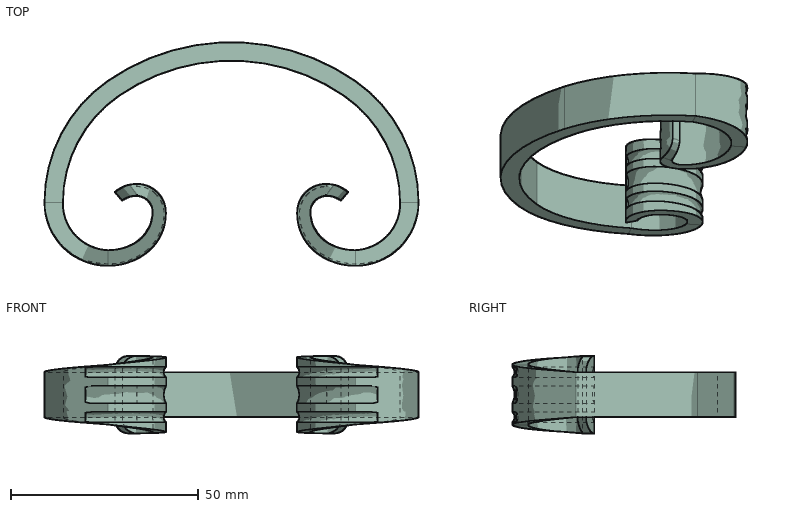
import cadquery as cq
import math

HALF_SPAN = 50.0
BOW_RISE = 42.79
BAR_THICKNESS = 5.0
BAR_HEIGHT = 12.0
SIDE_RADIUS = 39.5

side_centre_x = HALF_SPAN - SIDE_RADIUS
CROWN_RADIUS = (side_centre_x**2 + BOW_RISE**2 - SIDE_RADIUS**2) / (2 * (BOW_RISE - SIDE_RADIUS))
crown_centre_y = BOW_RISE - CROWN_RADIUS
joint_angle = math.atan2(-crown_centre_y, side_centre_x)

ROOT_ARC = (17.0, 90.0)
CURL_ARCS = [(17.0, 35.0), (13.5, 55.0), (7.8, 90.0), (9.0, 41.0)]
STATION_STEP = 8.0
TIP_THICKNESS = 3.0
ROOT_END_HEIGHT = 16.0
TIP_HEIGHT = 20.79
TIP_CORNER_RADIUS = 4.3

GROOVE_DEPTH = 0.6
GROOVE_LEAD_IN = 0.2
GROOVE_CLEARANCE = 0.4
GROOVES = [(0.0, 4.7), (6.0, 2.8), (-6.0, 2.8)]
GROOVE_START_TURN = 69.0
GROOVE_END_TURN = 270.0

root_length = ROOT_ARC[0] * math.radians(ROOT_ARC[1])
curl_length = sum(radius * math.radians(turn) for radius, turn in CURL_ARCS)
scroll_length = root_length + curl_length


def locate(turn):
    """Outer-wall point, inward normal and distance along the wall after `turn` degrees."""
    x, y = -HALF_SPAN, 0.0
    heading = 0.0
    distance = 0.0
    for radius, arc_turn in [ROOT_ARC] + CURL_ARCS:
        step = min(arc_turn, turn - heading)
        if step <= 0:
            break
        start = math.radians(heading)
        end = math.radians(heading + step)
        x += radius * (math.cos(start) - math.cos(end))
        y += radius * (math.sin(start) - math.sin(end))
        distance += radius * (end - start)
        heading += step
    angle = math.radians(heading)
    return (x, y), (math.cos(angle), math.sin(angle)), distance


def half_height(distance):
    """Half the bar height: an even flare to the lowest point, then easing out before the tip."""
    if distance <= root_length:
        return (BAR_HEIGHT + (ROOT_END_HEIGHT - BAR_HEIGHT) * distance / root_length) / 2
    flare_length = curl_length - TIP_CORNER_RADIUS
    progress = min(1.0, (distance - root_length) / flare_length)
    ease = math.sin(math.pi / 2 * progress)
    return (ROOT_END_HEIGHT + (TIP_HEIGHT - ROOT_END_HEIGHT) * ease) / 2


def turns_between(first, last):
    count = math.ceil((last - first) / STATION_STEP)
    return [first + (last - first) * i / count for i in range(count + 1)]


def corner_points(turn):
    """The four bar corners: outer top, inner top, inner bottom, outer bottom."""
    (x, y), (nx, ny), distance = locate(turn)
    thickness = BAR_THICKNESS + (TIP_THICKNESS - BAR_THICKNESS) * distance / scroll_length
    z = half_height(distance)
    inner_x = x + thickness * nx
    inner_y = y + thickness * ny
    corners = [(x, y, z), (inner_x, inner_y, z), (inner_x, inner_y, -z), (x, y, -z)]
    return [cq.Vector(*corner) for corner in corners]


def scroll_segment(first, last):
    """Flared bar between two turns, closed by ruled walls and flat ends."""
    stations = [corner_points(turn) for turn in turns_between(first, last)]
    rails = [cq.Edge.makeSpline(list(points)) for points in zip(*stations)]
    faces = [cq.Face.makeRuledSurface(rails[i - 1], rails[i]) for i in range(4)]
    for end in (stations[0], stations[-1]):
        faces.append(cq.Face.makeFromWires(cq.Wire.makePolygon(end, close=True)))
    return cq.Solid.makeSolid(cq.Shell.makeShell(faces)).fix()


def groove_cutter(centre_z, width):
    """Circular-segment profile swept along the outer wall."""
    path = [locate(turn)[0] for turn in turns_between(GROOVE_START_TURN, GROOVE_END_TURN)]
    (x, y), (nx, ny), _ = locate(GROOVE_START_TURN)
    path[0] = (x - GROOVE_LEAD_IN * nx, y - GROOVE_LEAD_IN * ny)
    profile_plane = cq.Plane(origin=(*path[0], centre_z), xDir=(nx, ny, 0), normal=(ny, -nx, 0))
    arc_radius = ((width / 2)**2 + GROOVE_DEPTH**2) / (2 * GROOVE_DEPTH)
    segment_depth = GROOVE_DEPTH + GROOVE_CLEARANCE
    half_chord = math.sqrt(segment_depth * (2 * arc_radius - segment_depth))
    profile = (
        cq.Workplane(profile_plane)
        .moveTo(-GROOVE_CLEARANCE, -half_chord)
        .threePointArc((GROOVE_DEPTH, 0), (-GROOVE_CLEARANCE, half_chord))
        .close()
    )
    rail = cq.Workplane("XY", origin=(0, 0, centre_z)).spline(path)
    return profile.sweep(rail)


def tip_corner_cutter(tip_turn, end):
    """Square corner less a quarter circle, through the bar at the tip; end is +1 top, -1 bottom."""
    (x, y), (nx, ny), _ = locate(tip_turn)
    radius = TIP_CORNER_RADIUS
    margin = TIP_THICKNESS / 2
    start = (x - margin * nx, y - margin * ny, 0)
    tip_plane = cq.Plane(origin=start, xDir=(-ny, nx, 0), normal=(nx, ny, 0))
    edge = end * TIP_HEIGHT / 2
    diagonal = radius * (1 - math.sqrt(0.5))
    return (
        cq.Workplane(tip_plane)
        .moveTo(radius, edge)
        .threePointArc((diagonal, edge - end * diagonal), (0, edge - end * radius))
        .lineTo(-margin, edge - end * radius)
        .lineTo(-margin, edge + end * margin)
        .lineTo(radius, edge + end * margin)
        .close()
        .extrude(TIP_THICKNESS + 2 * margin)
    )


def make_scroll():
    root_turn = ROOT_ARC[1]
    tip_turn = root_turn + sum(turn for _, turn in CURL_ARCS)
    root = scroll_segment(0, root_turn)
    curl = scroll_segment(root_turn, tip_turn)
    scroll = cq.Workplane(root).union(cq.Workplane(curl))
    for end in (1, -1):
        scroll = scroll.cut(tip_corner_cutter(tip_turn, end))
    for centre_z, width in GROOVES:
        scroll = scroll.cut(groove_cutter(centre_z, width))
    return scroll


def make_bow():
    def bow_points(inset):
        side = SIDE_RADIUS - inset
        joint_x = side_centre_x + side * math.cos(joint_angle)
        joint_y = side * math.sin(joint_angle)
        middle_x = side_centre_x + side * math.cos(joint_angle / 2)
        middle_y = side * math.sin(joint_angle / 2)
        return (HALF_SPAN - inset, 0), (middle_x, middle_y), (joint_x, joint_y), (0, BOW_RISE - inset)

    def mirrored(point):
        return (-point[0], point[1])

    foot, side, joint, crown = bow_points(0)
    in_foot, in_side, in_joint, in_crown = bow_points(BAR_THICKNESS)
    outline = (
        cq.Workplane("XY")
        .moveTo(*mirrored(foot))
        .threePointArc(mirrored(side), mirrored(joint))
        .threePointArc(crown, joint)
        .threePointArc(side, foot)
        .lineTo(*in_foot)
        .threePointArc(in_side, in_joint)
        .threePointArc(in_crown, mirrored(in_joint))
        .threePointArc(mirrored(in_side), mirrored(in_foot))
        .close()
    )
    return outline.extrude(BAR_HEIGHT / 2, both=True)


left_scroll = make_scroll()
right_scroll = left_scroll.mirror("YZ")
result = make_bow().union(left_scroll).union(right_scroll)